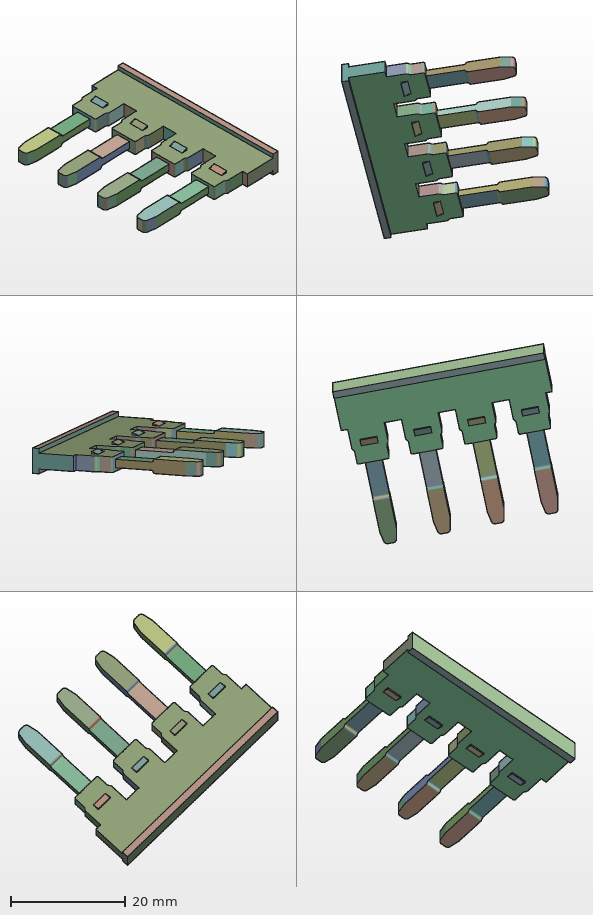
import cadquery as cq


bar_length = 37.6
bar_thickness = 2.82
bar_depth = 7.75
rim_depth = 1.25
rim_height = 4.5

prong_count = 4
prong_pitch = 9.6

shoulder_width = 6.5
neck_width = 5.75
neck_curve_start = 11.3
neck_curve_end = 12.15
collar_end = 14.48
collar_corner_radius = 0.3

latch_start = 9.95
latch_end = 11.2
latch_height = 0.4

pin_width = 3.0
shank_thickness = 1.5
blade_thickness = 2.6
swell_start = 21.25
swell_end = 21.92

taper_start = 27.7
pin_end = 30.15
tip_width = 2.05
tip_corner_radius = 0.68


def stepped_strip(plane, start, end, first_width, last_width, curve_start, curve_end):
    """Symmetric outline along -Y whose width changes through an S-curve of two tangent arcs."""
    first = first_width / 2
    last = last_width / 2
    middle = (first + last) / 2
    curve_middle = (curve_start + curve_end) / 2
    half = (
        cq.Workplane(plane)
        .moveTo(0, -start)
        .lineTo(first, -start)
        .lineTo(first, -curve_start)
        .tangentArcPoint((middle, -curve_middle), relative=False)
        .tangentArcPoint((last, -curve_end), relative=False)
        .lineTo(last, -end)
        .lineTo(0, -end)
    )
    return half.mirrorY()


def make_bar():
    web = cq.Workplane("XY").box(bar_length, bar_depth, bar_thickness)
    rim = cq.Workplane("XY").box(bar_length, rim_depth, rim_height)
    return web.translate((0, -bar_depth / 2, 0)).union(rim.translate((0, -rim_depth / 2, 0)))


def make_collar():
    outline = stepped_strip(
        "XY", rim_depth, collar_end, shoulder_width, neck_width, neck_curve_start, neck_curve_end
    )
    collar = outline.extrude(bar_thickness / 2, both=True)
    return collar.faces("<Y").edges("|Z").fillet(collar_corner_radius)


def make_latches():
    surface = bar_thickness / 2
    crest = surface + latch_height
    profile = [
        (-latch_start, -crest),
        (-latch_start, crest),
        (-latch_end, surface),
        (-latch_end, -surface),
    ]
    return cq.Workplane("YZ").polyline(profile).close().extrude(pin_width / 2, both=True)


def make_pin():
    profile = stepped_strip(
        "ZY", latch_end, pin_end, shank_thickness, blade_thickness, swell_start, swell_end
    )
    swollen_bar = profile.extrude(pin_width / 2, both=True)

    side = pin_width / 2
    tip = tip_width / 2
    outline = [
        (-side, -latch_end),
        (-side, -taper_start),
        (-tip, -pin_end),
        (tip, -pin_end),
        (side, -taper_start),
        (side, -latch_end),
    ]
    envelope = cq.Workplane("XY").polyline(outline).close().extrude(blade_thickness / 2, both=True)
    envelope = envelope.faces("<Y").edges("|Z").fillet(tip_corner_radius)
    return swollen_bar.intersect(envelope)


prong = make_collar().union(make_latches()).union(make_pin())
first_prong_x = -prong_pitch * (prong_count - 1) / 2

result = make_bar()
for index in range(prong_count):
    result = result.union(prong.translate((first_prong_x + index * prong_pitch, 0, 0)))